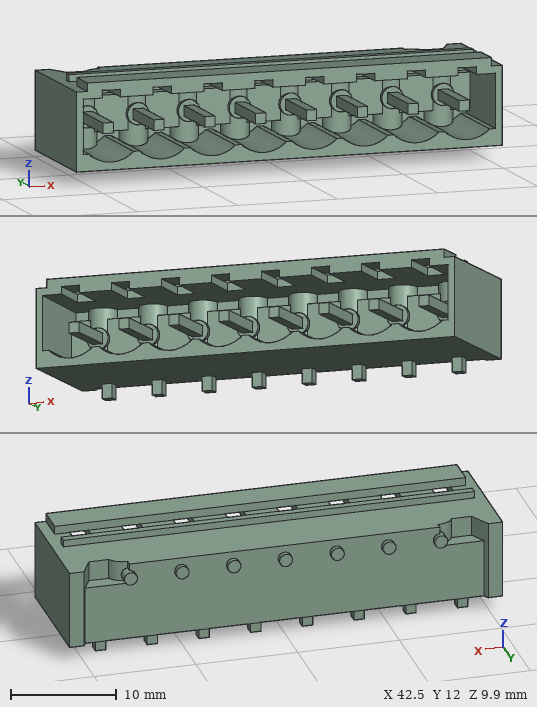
import cadquery as cq


LENGTH = 42.55
DEPTH = 12.0
HEIGHT = 7.7
BACK_Y = 11.5

PIN_COUNT = 8
END_PIN_INSET = 3.5
PITCH = (LENGTH - 2 * END_PIN_INSET) / (PIN_COUNT - 1)
PIN_SIDE = 1.0
PIN_AXIS_Z = 3.85
PIN_TIP_Y = 0.95
LEG_AXIS_Y = 9.95
LEG_LENGTH = 1.4
PIN_XS = [(i - (PIN_COUNT - 1) / 2) * PITCH for i in range(PIN_COUNT)]

END_WALL = 0.7
CAVITY_DEPTH = 8.5
CAVITY_FLOOR_Z = 1.65
CEILING_FRONT_Z = 6.98
CEILING_DROP = 0.13
CEILING_BACK_Z = CEILING_FRONT_Z - CEILING_DROP
SCALLOP_WIDTH = 4.42
SCALLOP_DEPTH = 0.9

COLUMN_RADIUS = 1.4
PANEL_BOTTOM_Z = 2.3
PANEL_TOP_Z = 5.8
PANEL_THICKNESS = 1.1
BOSS_RADIUS = 1.05
BOSS_LENGTH = 1.55

SLOT_WIDTH = 1.85
SLOT_DEPTH = 4.13

RAIL_LENGTH = 40.35
FRONT_RAIL_HEIGHT = 0.8
REAR_RAIL_HEIGHT = 0.7
FRONT_RAIL_DEPTH = 3.05
REAR_RAIL_Y = 5.27
REAR_RAIL_DEPTH = 0.75

STUD_RADIUS = 0.65
STUD_AXIS_Z = 6.4
STUD_START_Y = 10.85
STUD_XS = [x + PITCH / 2 for x in PIN_XS[:-1]]

EAR_WIDTH = 1.4
RELIEF_BOTTOM_Y = 9.95
RELIEF_BOTTOM_OUTER = 2.45
RELIEF_BOTTOM_INNER = 4.42
RELIEF_ARC_MIDDLE = (5.1, 10.65)
RELIEF_FLOOR_Z = STUD_AXIS_Z - STUD_RADIUS


def block(x_min, x_max, y_min, y_max, z_min, z_max):
    """Box between opposite corners."""
    size = (x_max - x_min, y_max - y_min, z_max - z_min)
    return cq.Workplane("XY").box(*size, centered=False).translate((x_min, y_min, z_min))


def rod_along_y(x, z, radius, y_start, y_end):
    """Round rod parallel to Y."""
    plane = cq.Workplane("XZ", origin=(x, y_start, z))
    return plane.circle(radius).extrude(y_start - y_end)


def make_pin(x):
    """Square L-shaped pin: a contact lying along Y and a leg going down through the underside."""
    half = PIN_SIDE / 2
    leg_back_y = LEG_AXIS_Y + half
    contact = block(x - half, x + half, PIN_TIP_Y, leg_back_y, PIN_AXIS_Z - half, PIN_AXIS_Z + half)
    leg = block(x - half, x + half, LEG_AXIS_Y - half, leg_back_y, -LEG_LENGTH, PIN_AXIS_Z)
    return contact.union(leg)


def make_cavity():
    """Space behind the front face, with a sloping ceiling and a scalloped floor."""
    cavity_length = LENGTH - 2 * END_WALL
    side_profile = [
        (0, CAVITY_FLOOR_Z),
        (CAVITY_DEPTH, CAVITY_FLOOR_Z),
        (CAVITY_DEPTH, CEILING_BACK_Z),
        (0, CEILING_FRONT_Z),
    ]
    cavity = cq.Workplane("YZ").polyline(side_profile).close().extrude(cavity_length / 2, both=True)
    for x in PIN_XS:
        scallop = (
            cq.Workplane("XZ", origin=(x, 0, CAVITY_FLOOR_Z))
            .moveTo(-SCALLOP_WIDTH / 2, 0)
            .threePointArc((0, -SCALLOP_DEPTH), (SCALLOP_WIDTH / 2, 0))
            .close()
            .extrude(-CAVITY_DEPTH)
        )
        cavity = cavity.union(scallop)
    return cavity


def make_back_wall_details():
    """Panel, upright columns and round pin bosses standing out from the cavity's back wall."""
    half_length = LENGTH / 2 - END_WALL
    panel_front_y = CAVITY_DEPTH - PANEL_THICKNESS
    details = block(-half_length, half_length, panel_front_y, CAVITY_DEPTH, PANEL_BOTTOM_Z, PANEL_TOP_Z)
    for x in PIN_XS:
        column = (
            cq.Workplane("XY").center(x, CAVITY_DEPTH).circle(COLUMN_RADIUS).extrude(CEILING_FRONT_Z)
        )
        boss = rod_along_y(x, PIN_AXIS_Z, BOSS_RADIUS, CAVITY_DEPTH - BOSS_LENGTH, CAVITY_DEPTH)
        details = details.union(column).union(boss)
    return details


def make_relief():
    """Pocket at the -X end of the back edge, between the ear and the first stud's axis."""
    end_x = -LENGTH / 2
    arc_x, arc_y = RELIEF_ARC_MIDDLE
    return (
        cq.Workplane("XY", origin=(0, 0, RELIEF_FLOOR_Z))
        .moveTo(end_x + EAR_WIDTH, DEPTH)
        .lineTo(end_x + RELIEF_BOTTOM_OUTER, RELIEF_BOTTOM_Y)
        .lineTo(end_x + RELIEF_BOTTOM_INNER, RELIEF_BOTTOM_Y)
        .threePointArc((end_x + arc_x, arc_y), (STUD_XS[0], STUD_START_Y))
        .lineTo(STUD_XS[0], DEPTH)
        .close()
        .extrude(HEIGHT - RELIEF_FLOOR_Z)
    )


def make_back_recess():
    """Full-height step that sets the back face in between the ears, following their sloping flanks."""
    ear_slope = (RELIEF_BOTTOM_OUTER - EAR_WIDTH) / (DEPTH - RELIEF_BOTTOM_Y)
    half_width_outside = LENGTH / 2 - EAR_WIDTH
    half_width_inside = half_width_outside - ear_slope * (DEPTH - BACK_Y)
    outline = [
        (-half_width_outside, DEPTH),
        (-half_width_inside, BACK_Y),
        (half_width_inside, BACK_Y),
        (half_width_outside, DEPTH),
    ]
    return cq.Workplane("XY").polyline(outline).close().extrude(HEIGHT)


def make_housing():
    """Connector shell with its cavity, slots, rails, studs and pin passages."""
    body = block(-LENGTH / 2, LENGTH / 2, 0, DEPTH, 0, HEIGHT)

    relief = make_relief()
    body = body.cut(make_back_recess()).cut(relief).cut(relief.mirror("YZ"))
    for x in STUD_XS:
        body = body.union(rod_along_y(x, STUD_AXIS_Z, STUD_RADIUS, STUD_START_Y, DEPTH))

    body = body.cut(make_cavity().cut(make_back_wall_details()))
    for x in PIN_XS:
        slot_half = SLOT_WIDTH / 2
        body = body.cut(block(x - slot_half, x + slot_half, 0, SLOT_DEPTH, CEILING_BACK_Z, HEIGHT))

    rails = [
        (0, FRONT_RAIL_DEPTH, FRONT_RAIL_HEIGHT),
        (REAR_RAIL_Y, REAR_RAIL_DEPTH, REAR_RAIL_HEIGHT),
    ]
    for y, depth, height in rails:
        rail = block(-RAIL_LENGTH / 2, RAIL_LENGTH / 2, y, y + depth, HEIGHT, HEIGHT + height)
        body = body.union(rail)

    for x in PIN_XS:
        body = body.cut(make_pin(x))
    return body


housing = make_housing()
pins = [make_pin(x) for x in PIN_XS]
result = cq.Compound.makeCompound([housing.val(), *[pin.val() for pin in pins]])